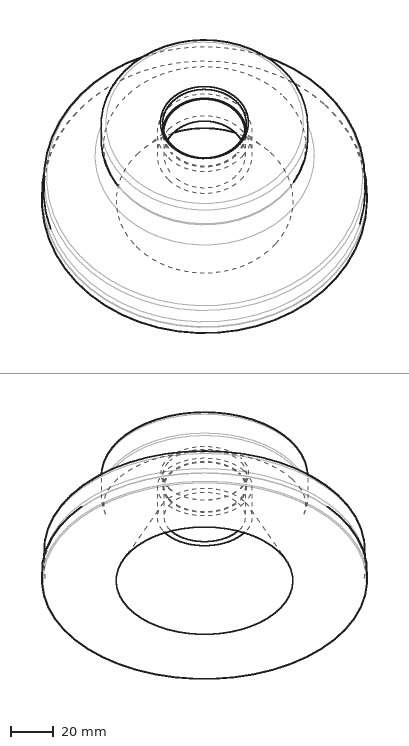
import cadquery as cq
import math


height = 63.5
rim_radius = 76.2

head_radius = 48.4
head_top_round = 2.2
head_under_round = 3.175

waist_z = 45.0
waist_round = 10.0
waist_top_tilt = -23.0
cone_tilt = 53.0

shoulder_round = 2.9
wall_draft = 1.0
flare_round = 3.175
flare_top_tilt = -15.0
flare_bottom_tilt = 42.0
rim_edge_z = 5.3
rim_edge_round = 0.5

mouth_radius = 19.6
mouth_chamfer_width = 1.0
mouth_chamfer_depth = 0.9
bush_bore_radius = 19.05
bush_wall = 3.175
bush_top_z = 55.4
bush_bottom_z = 37.6
opening_tilt = 27.0

bush_radius = bush_bore_radius + bush_wall


def on_round(center, radius, tilt):
    """Point of a convex round where its surface has the given tilt."""
    angle = math.radians(tilt)
    return (center[0] + radius * math.cos(angle), center[1] + radius * math.sin(angle))


def on_hollow(center, radius, tilt):
    """Point of a concave round where its surface has the given tilt."""
    return on_round(center, -radius, tilt)


def follow_arc(profile, point_on, center, radius, start_tilt, end_tilt):
    """Continue the profile along an arc whose tilt runs from start to end."""
    middle = point_on(center, radius, (start_tilt + end_tilt) / 2)
    return profile.threePointArc(middle, point_on(center, radius, end_tilt))


def turned(profile):
    return profile.close().revolve(360, (0, 0, 0), (0, 1, 0))


def make_housing():
    top_center = (head_radius - head_top_round, height - head_top_round)
    waist_angle = math.radians(waist_top_tilt)
    under_z = waist_z - (waist_round + head_under_round) * math.sin(waist_angle)
    under_center = (head_radius - head_under_round, under_z)

    waist_center_radius = under_center[0] + (waist_round + head_under_round) * math.cos(waist_angle)
    waist_center = (waist_center_radius, waist_z)
    waist_bottom = on_hollow(waist_center, waist_round, cone_tilt)

    rim_edge_center = (rim_radius - rim_edge_round, rim_edge_z)
    rim_edge_top = on_round(rim_edge_center, rim_edge_round, flare_bottom_tilt)
    flare_angle = math.radians(flare_bottom_tilt)
    flare_center = (
        rim_edge_top[0] + flare_round * math.cos(flare_angle),
        rim_edge_top[1] + flare_round * math.sin(flare_angle),
    )
    flare_top = on_hollow(flare_center, flare_round, flare_top_tilt)

    cone_slope = math.tan(math.radians(cone_tilt))
    wall_slope = math.tan(math.radians(wall_draft))
    corner_drop = (flare_top[0] - waist_bottom[0] - (waist_bottom[1] - flare_top[1]) * wall_slope) / (
        cone_slope - wall_slope
    )
    corner_z = waist_bottom[1] - corner_drop
    corner_radius = waist_bottom[0] + corner_drop * cone_slope
    half_turn = math.radians(cone_tilt - wall_draft) / 2
    middle_angle = math.radians(cone_tilt + wall_draft) / 2
    center_distance = shoulder_round / math.cos(half_turn)
    shoulder_center = (
        corner_radius - center_distance * math.cos(middle_angle),
        corner_z - center_distance * math.sin(middle_angle),
    )

    opening_radius = bush_radius + bush_bottom_z * math.tan(math.radians(opening_tilt))

    profile = (
        cq.Workplane("XZ")
        .moveTo(bush_radius, bush_bottom_z)
        .lineTo(bush_radius, bush_top_z)
        .lineTo(mouth_radius, bush_top_z)
        .lineTo(mouth_radius, height - mouth_chamfer_depth)
        .lineTo(mouth_radius + mouth_chamfer_width, height)
        .lineTo(top_center[0], height)
    )
    profile = follow_arc(profile, on_round, top_center, head_top_round, 90, 0)
    profile = profile.lineTo(head_radius, under_z)
    profile = follow_arc(profile, on_round, under_center, head_under_round, 0, waist_top_tilt)
    profile = follow_arc(profile, on_hollow, waist_center, waist_round, waist_top_tilt, cone_tilt)
    profile = profile.lineTo(*on_round(shoulder_center, shoulder_round, cone_tilt))
    profile = follow_arc(profile, on_round, shoulder_center, shoulder_round, cone_tilt, wall_draft)
    profile = profile.lineTo(*flare_top)
    profile = follow_arc(
        profile, on_hollow, flare_center, flare_round, flare_top_tilt, flare_bottom_tilt
    )
    profile = follow_arc(profile, on_round, rim_edge_center, rim_edge_round, flare_bottom_tilt, 0)
    profile = profile.lineTo(rim_radius, rim_edge_round)
    base_edge_center = (rim_radius - rim_edge_round, rim_edge_round)
    profile = follow_arc(profile, on_round, base_edge_center, rim_edge_round, 0, -90)
    profile = profile.lineTo(opening_radius, 0)
    return turned(profile)


def make_bush():
    return turned(
        cq.Workplane("XZ")
        .moveTo(bush_bore_radius, bush_bottom_z)
        .lineTo(bush_radius, bush_bottom_z)
        .lineTo(bush_radius, bush_top_z)
        .lineTo(bush_bore_radius, bush_top_z)
    )


housing = make_housing()
bush = make_bush()
result = cq.Compound.makeCompound([housing.val(), bush.val()])